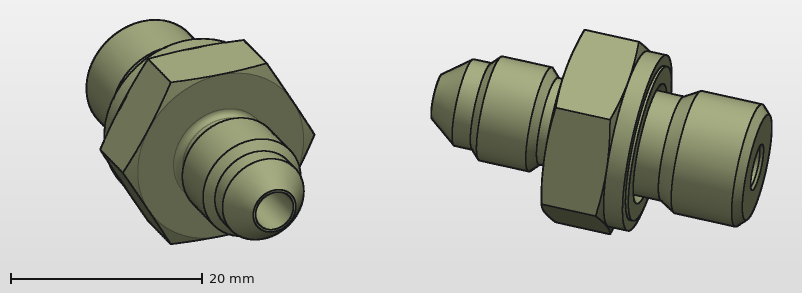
import cadquery as cq
import math

LENGTH = 34.8
THREAD_END = 7.48
RELIEF_START = 9.15
SEAT_FACE = 11.65
COLLAR_FACE = 11.97
HEX_START = 14.02
HEX_END = 20.78
GROOVE_END = 22.7
BARREL_START = 23.6
BARREL_END = 28.95
NOSE_START = 29.9
CONE_START = 31.88

THREAD_RADIUS = 6.58
RELIEF_RADIUS = 5.6
SEAT_RADIUS = 8.28
COLLAR_RADIUS = 9.43
NECK_RADIUS = 4.65
BARREL_RADIUS = 5.6
NOSE_RADIUS = 4.65
TIP_RADIUS = 2.45
BORE_RADIUS = 2.15

THREAD_CHAMFER = 0.9
BORE_CHAMFER = 0.3
RECESS_RADIUS = 6.45
RECESS_DEPTH = 1.0
NECK_FILLET = 0.73

HEX_FLATS = 19.0
HEX_CORNER_RADIUS = HEX_FLATS / 2 / math.cos(math.radians(30))
HEX_CHAMFER = 0.42


def revolve_about_x(outline):
    """Turn a closed (X, radius) outline around the X axis."""
    return outline.close().revolve(360, (0, 0, 0), (1, 0, 0))


def make_threaded_end():
    """Stud with relief groove, sealing seat recessed around the stud, and round collar."""
    outline = cq.Workplane("XY").polyline([
        (0, 0),
        (0, THREAD_RADIUS - THREAD_CHAMFER),
        (THREAD_CHAMFER, THREAD_RADIUS),
        (THREAD_END, THREAD_RADIUS),
        (RELIEF_START, RELIEF_RADIUS),
        (SEAT_FACE + RECESS_DEPTH, RELIEF_RADIUS),
        (SEAT_FACE, RECESS_RADIUS),
        (SEAT_FACE, SEAT_RADIUS),
        (COLLAR_FACE, SEAT_RADIUS),
        (COLLAR_FACE, COLLAR_RADIUS),
        (HEX_START, COLLAR_RADIUS),
        (HEX_START, 0),
    ])
    return revolve_about_x(outline)


def make_hex():
    """Hexagon whose corners are turned down conically at both faces."""
    width = HEX_END - HEX_START
    prism = (
        cq.Workplane("YZ", origin=(HEX_START, 0, 0))
        .polygon(6, 2 * HEX_CORNER_RADIUS)
        .extrude(width)
    )
    turned_blank = revolve_about_x(cq.Workplane("XY").polyline([
        (HEX_START, 0),
        (HEX_START, HEX_FLATS / 2),
        (HEX_START + HEX_CHAMFER, HEX_CORNER_RADIUS),
        (HEX_END - HEX_CHAMFER, HEX_CORNER_RADIUS),
        (HEX_END, HEX_FLATS / 2),
        (HEX_END, 0),
    ]))
    return prism.intersect(turned_blank)


def make_cone_end():
    """Filleted neck, cylindrical barrel and conical nose."""
    outline = (
        cq.Workplane("XY")
        .moveTo(HEX_END, 0)
        .lineTo(HEX_END, NECK_RADIUS + NECK_FILLET)
        .radiusArc((HEX_END + NECK_FILLET, NECK_RADIUS), -NECK_FILLET)
        .lineTo(GROOVE_END, NECK_RADIUS)
        .lineTo(BARREL_START, BARREL_RADIUS)
        .lineTo(BARREL_END, BARREL_RADIUS)
        .lineTo(NOSE_START, NOSE_RADIUS)
        .lineTo(CONE_START, NOSE_RADIUS)
        .lineTo(LENGTH, TIP_RADIUS)
        .lineTo(LENGTH, 0)
    )
    return revolve_about_x(outline)


def make_bore():
    """Through bore, countersunk at the threaded end."""
    return revolve_about_x(cq.Workplane("XY").polyline([
        (0, 0),
        (0, BORE_RADIUS + BORE_CHAMFER),
        (BORE_CHAMFER, BORE_RADIUS),
        (LENGTH, BORE_RADIUS),
        (LENGTH, 0),
    ]))


result = make_threaded_end().union(make_hex()).union(make_cone_end()).cut(make_bore())